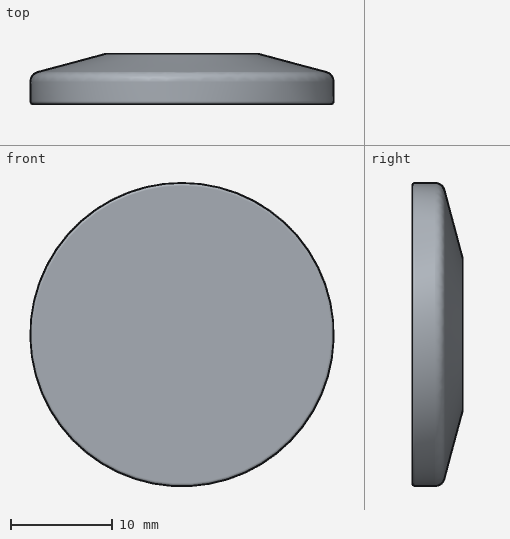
import cadquery as cq
import math

outer_radius = 15.0
thickness = 5.0

rim_height = 3.0
cone_angle = 15.0
shoulder_radius = 1.0
cone_width = (thickness - rim_height) / math.tan(math.radians(cone_angle))
back_flat_radius = outer_radius - cone_width

front_edge_radius = 0.3


def make_sharp_disc():
    """Revolve the half section (Y, radius) about the Y axis, front face at Y = 0."""
    half_section = (
        cq.Workplane("YZ")
        .moveTo(0, 0)
        .lineTo(0, outer_radius)
        .lineTo(rim_height, outer_radius)
        .lineTo(thickness, back_flat_radius)
        .lineTo(thickness, 0)
        .close()
    )
    return half_section.revolve(360, (0, 0, 0), (1, 0, 0))


def circle_edge_at(y):
    """Select the circular edge whose centre lies on the axis at the given Y."""
    return cq.selectors.NearestToPointSelector((0, y, 0))


def round_rim(disc):
    """Round the shoulder between cone and rim, then the front edge."""
    disc = disc.edges(circle_edge_at(rim_height)).fillet(shoulder_radius)
    return disc.edges(circle_edge_at(0)).fillet(front_edge_radius)


result = round_rim(make_sharp_disc())